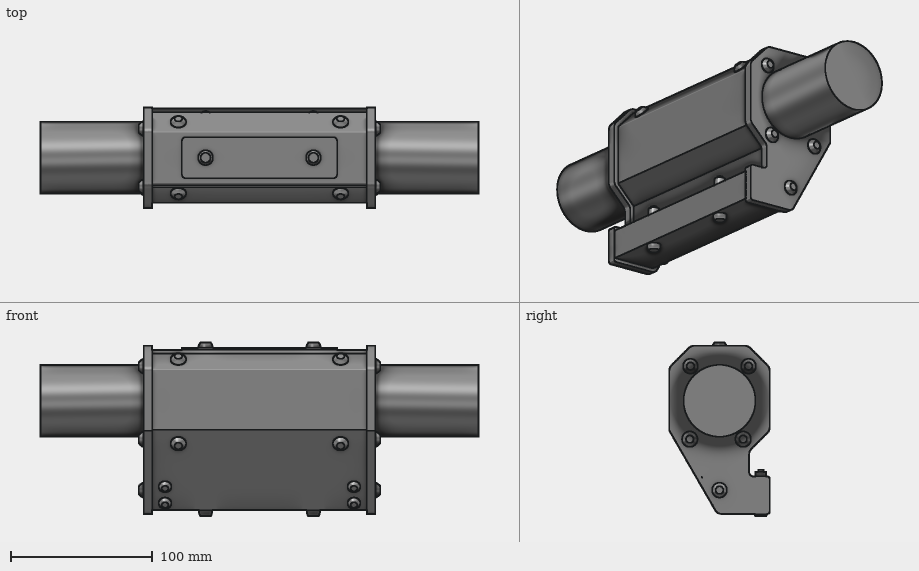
import math
import cadquery as cq


tube_length = 309.58
tube_diameter = 50.8

sheet_thickness = 3.05
sheets_per_end = 2
plate_outer_x = 81.9
plate_inner_x = plate_outer_x - sheets_per_end * sheet_thickness
plate_half_width = 35.56
plate_top = 39.0
plate_bottom = -80.0
plate_chamfer = 15.5
upper_corner_radius = 6.0
heel_radius = 5.0
side_bottom = -21.0
neck_y = 21.0
plate_shelf_z = -53.4
foot_corner_radius = 2.0
shelf_fillet = 3.0
slope_angle = 60.0

body_half_width = 32.0
body_top = 36.0
body_bottom = -77.23
body_chamfer = 13.8
body_bend_radius = 1.5
body_side_bottom = -20.3
body_neck_y = neck_y - 3.0
body_shelf_z = plate_shelf_z - 3.0
body_foot_y = 34.8

deck_edge_y = -19.3
deck_edge_radius = 1.6
cover_edge_y = -21.0

pad_length = 109.5
pad_width = 29.0
pad_height = 1.3
pad_corner_radius = 2.5

large_head = (11.0, 3.4, 5.4)
medium_head = (10.5, 3.4, 5.4)
small_head = (9.0, 2.8, 4.6)
deck_head = (10.5, 4.0, 7.0)
foot_head = (9.5, 4.2, 7.6)
rim_height = 0.3
dome_fullness = 0.06

end_screws = [
    (20.5, 24.4, medium_head),
    (-20.5, 24.4, medium_head),
    (16.7, -27.1, large_head),
    (-21.0, -27.1, large_head),
    (0.0, -63.1, medium_head),
]
slope_screws = [
    (57.3, -30.2, large_head),
    (66.7, -60.6, small_head),
    (66.7, -72.2, small_head),
]
chamfer_screw_x = 57.3
deck_screw_x = 38.1
foot_screw_y = 29.2

nut_diameter = 7.6
nut_top = -50.3
screw_end_diameter = 4.0
screw_end_top = -48.6


def slope_y(side_y, side_z, z):
    """Y of the slanted side at height z, for a slope starting at (side_y, side_z)."""
    return side_y + (side_z - z) / math.tan(math.radians(slope_angle))


def yz_prism(sketch, length):
    """Extrude a closed YZ outline along +X."""
    return sketch.close().extrude(length)


def plate_sheet(start_x):
    w = plate_half_width
    neck_z = side_bottom - (w - neck_y)
    heel_y = slope_y(-w, side_bottom, plate_bottom)
    outline = (
        cq.Workplane("YZ", origin=(start_x, 0, 0))
        .moveTo(-w + plate_chamfer, plate_top)
        .lineTo(w - plate_chamfer, plate_top)
        .lineTo(w, plate_top - plate_chamfer)
        .lineTo(w, side_bottom)
        .lineTo(neck_y, neck_z)
        .lineTo(neck_y, plate_shelf_z)
        .lineTo(w, plate_shelf_z)
        .lineTo(w, plate_bottom)
        .lineTo(heel_y, plate_bottom)
        .lineTo(-w, side_bottom)
        .lineTo(-w, plate_top - plate_chamfer)
    )
    sheet = yz_prism(outline, sheet_thickness)

    def round_corner(solid, y, z, radius):
        mid_sheet = (start_x + sheet_thickness / 2, y, z)
        return solid.edges(cq.selectors.NearestToPointSelector(mid_sheet)).fillet(radius)

    for y_side in (-1, 1):
        sheet = round_corner(sheet, y_side * (w - plate_chamfer), plate_top, upper_corner_radius)
        sheet = round_corner(sheet, y_side * w, plate_top - plate_chamfer, upper_corner_radius)
    sheet = round_corner(sheet, w, side_bottom, upper_corner_radius)
    sheet = round_corner(sheet, neck_y, neck_z, upper_corner_radius)
    sheet = round_corner(sheet, neck_y, plate_shelf_z, shelf_fillet)
    sheet = round_corner(sheet, w, plate_shelf_z, foot_corner_radius)
    sheet = round_corner(sheet, w, plate_bottom, foot_corner_radius)
    return round_corner(sheet, heel_y, plate_bottom, heel_radius)


def body():
    w = body_half_width
    shoulder_z = body_top - body_chamfer
    cover_edge_z = shoulder_z + w + cover_edge_y
    arc_offset = deck_edge_radius * (1 - math.sqrt(0.5))
    outline = (
        cq.Workplane("YZ", origin=(-plate_inner_x, 0, 0))
        .moveTo(cover_edge_y, cover_edge_z)
        .lineTo(deck_edge_y, cover_edge_z)
        .lineTo(deck_edge_y, body_top - deck_edge_radius)
        .threePointArc(
            (deck_edge_y + arc_offset, body_top - arc_offset),
            (deck_edge_y + deck_edge_radius, body_top),
        )
        .lineTo(w - body_chamfer, body_top)
        .lineTo(w, shoulder_z)
        .lineTo(w, body_side_bottom)
        .lineTo(body_neck_y, body_side_bottom - (w - body_neck_y))
        .lineTo(body_neck_y, body_shelf_z)
        .lineTo(body_foot_y, body_shelf_z)
        .lineTo(body_foot_y, body_bottom)
        .lineTo(slope_y(-w, body_side_bottom, body_bottom), body_bottom)
        .lineTo(-w, body_side_bottom)
        .lineTo(-w, shoulder_z)
    )
    block = yz_prism(outline, 2 * plate_inner_x)
    for y, z in ((-w, shoulder_z), (w, shoulder_z), (w - body_chamfer, body_top)):
        block = block.edges(cq.selectors.NearestToPointSelector((0, y, z))).fillet(body_bend_radius)
    return block


def tube():
    return cq.Workplane("YZ", origin=(-tube_length / 2, 0, 0)).circle(tube_diameter / 2).extrude(tube_length)


def pad():
    block = cq.Workplane("XY", origin=(0, 0, body_top)).rect(pad_length, pad_width).extrude(pad_height)
    return block.edges("|Z").fillet(pad_corner_radius)


def screw_head(center, normal, head):
    """Domed screw head with a flat crown, seated at center and facing along normal."""
    diameter, height, flat_diameter = head
    radius = diameter / 2
    flat_radius = flat_diameter / 2
    bow = dome_fullness * (height - rim_height)
    dome_middle = ((radius + flat_radius) / 2 + bow, (height + rim_height) / 2 + bow)
    dome = (
        cq.Workplane("XZ")
        .lineTo(radius, 0)
        .lineTo(radius, rim_height)
        .threePointArc(dome_middle, (flat_radius, height))
        .lineTo(0, height)
        .close()
        .revolve(360, (0, 0, 0), (0, 1, 0))
    )
    seat = cq.Plane(origin=center, normal=normal)
    return cq.Workplane(dome.val().moved(cq.Location(seat)))


def screw_heads(x_side):
    """All screw heads on one half of the assembly; x_side is -1 or +1."""
    heads = []
    for y, z, head in end_screws:
        heads.append(screw_head((x_side * plate_outer_x, y, z), (x_side, 0, 0), head))

    chamfer_y = body_half_width - body_chamfer / 2
    chamfer_z = body_top - body_chamfer / 2
    for y_side in (-1, 1):
        seat = (x_side * chamfer_screw_x, y_side * chamfer_y, chamfer_z)
        heads.append(screw_head(seat, (0, y_side, 1), large_head))

    tilt = math.radians(slope_angle)
    slope_normal = (0, -math.sin(tilt), -math.cos(tilt))
    for x, z, head in slope_screws:
        seat = (x_side * x, slope_y(-body_half_width, body_side_bottom, z), z)
        heads.append(screw_head(seat, slope_normal, head))

    x = x_side * deck_screw_x
    heads.append(screw_head((x, 0, body_top + pad_height), (0, 0, 1), deck_head))
    heads.append(screw_head((x, foot_screw_y, body_bottom), (0, 0, -1), foot_head))
    return heads


def foot_nuts():
    foot_top = cq.Workplane("XY", origin=(0, foot_screw_y, body_shelf_z))
    seats = foot_top.pushPoints([(-deck_screw_x, 0), (deck_screw_x, 0)])
    nuts = seats.circle(nut_diameter / 2).extrude(nut_top - body_shelf_z)
    ends = seats.circle(screw_end_diameter / 2).extrude(screw_end_top - body_shelf_z)
    return nuts.union(ends)


result = body().union(tube()).union(pad()).union(foot_nuts())
for part in screw_heads(-1) + screw_heads(1):
    result = result.union(part)
for index in range(sheets_per_end):
    offset = index * sheet_thickness
    result = result.union(plate_sheet(plate_inner_x + offset), clean=False)
    result = result.union(plate_sheet(-plate_outer_x + offset), clean=False)